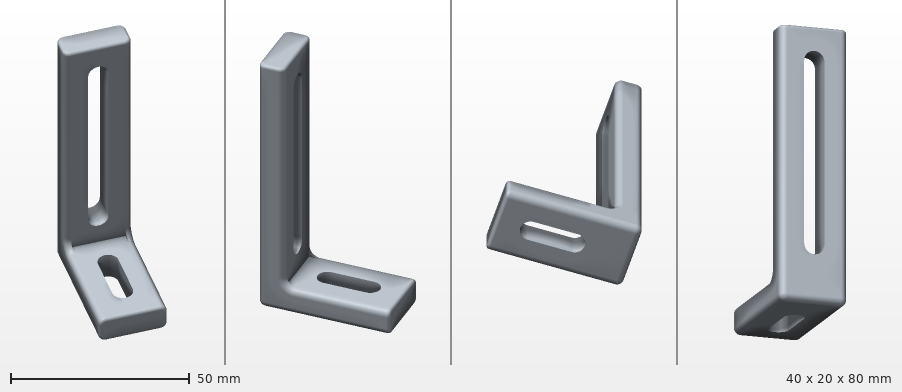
import cadquery as cq

height = 80.0
foot_length = 40.0
width = 20.0
thickness = 8.0
edge_radius = 2.0
end_radius = edge_radius / 2
inner_radius = 3.0

slot_width = 6.0
slot_start = 14.0
slot_end_margin = 7.0


def bracket_body():
    """L-shaped bar with rounded edges and ends."""
    outline = [
        (0, 0),
        (foot_length, 0),
        (foot_length, thickness),
        (thickness, thickness),
        (thickness, height),
        (0, height),
    ]
    body = cq.Workplane("XZ").polyline(outline).close().extrude(width / 2, both=True)

    inner_corner = cq.selectors.NearestToPointSelector((thickness, 0, thickness))
    body = body.edges("|Y").edges(inner_corner).fillet(inner_radius)
    heel = cq.selectors.NearestToPointSelector((0, 0, 0))
    body = body.edges("|Y").edges(heel).fillet(edge_radius)

    body = body.faces("<Y or >Y").edges("not(>X or >Z)").fillet(edge_radius)
    return body.faces(">X or >Z").edges().fillet(end_radius)


def inside_corner_cutter():
    """Block that squares the inside corner between the two rounded side edges."""
    flat_width = width - 2 * edge_radius
    return (
        cq.Workplane("XY")
        .box(inner_radius, flat_width, inner_radius, centered=(False, True, False))
        .translate((thickness, 0, thickness))
    )


def slot_cutter(plane, arm_length, along_angle):
    """Round-ended slot through one arm, lying along that arm."""
    slot_length = arm_length - slot_end_margin - slot_start
    slot_center = slot_start + slot_length / 2
    center = (slot_center, 0) if plane == "XY" else (0, slot_center)
    return (
        cq.Workplane(plane)
        .center(*center)
        .slot2D(slot_length, slot_width, along_angle)
        .extrude(thickness)
    )


foot_slot = slot_cutter("XY", foot_length, 0)
upright_slot = slot_cutter("YZ", height, 90)
result = bracket_body().cut(inside_corner_cutter()).cut(foot_slot).cut(upright_slot)